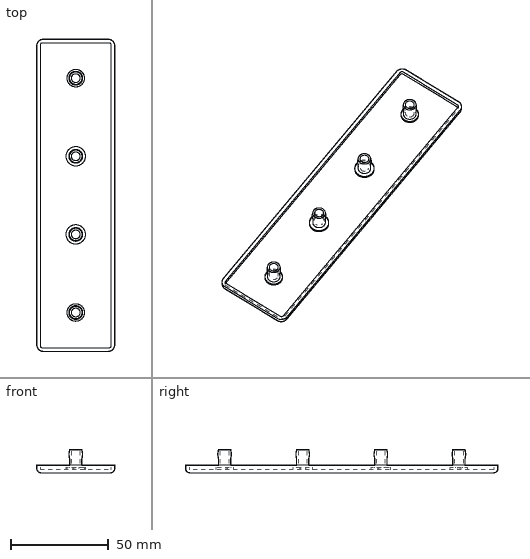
import cadquery as cq
import math

width = 40.0
length = 160.0
tray_height = 4.0
wall = 2.0
floor = 2.0
corner_radius = 3.5
recess_corner_radius = 1.0
bottom_fillet = 2.4

total_height = 12.0
post_radius = 3.2
barb_radius = 3.5
barb_start = 7.2
barb_low = 9.1
barb_high = 10.0
bore_radius = 2.2
post_pitch = length / 4
post_count = 4

pad_height = 1.0
pad_top = floor + pad_height
inner_pad_radius = 5.0
outer_pad_radius = 4.5


def make_tray():
    body = (
        cq.Workplane("XY")
        .rect(width, length)
        .extrude(tray_height)
        .edges("|Z")
        .fillet(corner_radius)
        .faces("<Z")
        .edges()
        .fillet(bottom_fillet)
    )
    recess = (
        cq.Workplane("XY")
        .workplane(offset=floor)
        .rect(width - 2 * wall, length - 2 * wall)
        .extrude(tray_height - floor)
        .edges("|Z")
        .fillet(recess_corner_radius)
    )
    return body.cut(recess)


def make_post(pad_radius):
    """Revolve a pad and hollow post, its round-ended bore ending level with the tray floor."""
    embed = floor / 2
    bore_center = floor + bore_radius
    arc_offset = bore_radius * math.sqrt(0.5)
    profile = [
        (pad_radius, embed),
        (pad_radius, pad_top),
        (post_radius, pad_top),
        (post_radius, barb_start),
        (barb_radius, barb_low),
        (barb_radius, barb_high),
        (post_radius, total_height),
        (bore_radius, total_height),
        (bore_radius, bore_center),
    ]
    return (
        cq.Workplane("XZ")
        .moveTo(0, embed)
        .polyline(profile, includeCurrent=True)
        .threePointArc((arc_offset, bore_center - arc_offset), (0, floor))
        .close()
        .revolve(360, (0, 0), (0, 1))
    )


result = make_tray()
for index in range(post_count):
    is_end_post = index in (0, post_count - 1)
    post = make_post(outer_pad_radius if is_end_post else inner_pad_radius)
    post_y = (index - (post_count - 1) / 2) * post_pitch
    result = result.union(post.translate((0, post_y, 0)))